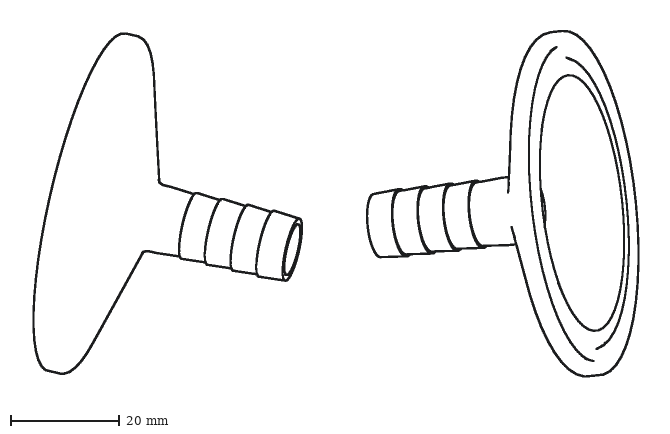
import cadquery as cq
import math

flange_radius = 32.0
total_length = 40.0
bore_radius = 4.8

cone_angle = math.radians(20)
rim_width = 2.4
rim_back_round = 0.8
rim_front_round = 0.2
mouth_radius = 23.75
mouth_angle = math.radians(25)

tail_radius = 6.3
barb_tip_radius = 5.9
barb_length = 5.0
barb_count = 5
neck_fillet = 2.05

groove_radius = 28.15
groove_depth = 1.6
groove_floor_round = 1.1
groove_lip_round = 0.9

sin_cone = math.sin(cone_angle)
cos_cone = math.cos(cone_angle)
tan_cone = math.tan(cone_angle)


def arc_point(center, radius, angle):
    """Point on a circle, with the angle measured from the +X axis."""
    return (center[0] + radius * math.cos(angle), center[1] + radius * math.sin(angle))


def revolve_about_x(profile):
    return profile.close().revolve(360, (0, 0, 0), (1, 0, 0))


def make_body():
    """Flange, cone and barbed tail, as a solid of revolution about X."""
    rim_center = (rim_width, flange_radius - rim_back_round)
    rim_mid = arc_point(rim_center, rim_back_round, (math.pi / 2 + cone_angle) / 2)
    rim_end = arc_point(rim_center, rim_back_round, cone_angle)

    neck_center_radius = tail_radius + neck_fillet
    neck_start_radius = neck_center_radius - neck_fillet * sin_cone
    neck_start_x = rim_end[0] + (rim_end[1] - neck_start_radius) * tan_cone
    neck_center = (neck_start_x + neck_fillet * cos_cone, neck_center_radius)
    neck_mid = arc_point(neck_center, neck_fillet, (math.pi + cone_angle + 1.5 * math.pi) / 2)

    front_center = (rim_front_round, flange_radius - rim_front_round)
    profile = (
        cq.Workplane("XY")
        .moveTo(0, 0)
        .lineTo(0, front_center[1])
        .threePointArc(
            arc_point(front_center, rim_front_round, 0.75 * math.pi),
            (rim_front_round, flange_radius),
        )
        .lineTo(rim_width, flange_radius)
        .threePointArc(rim_mid, rim_end)
        .lineTo(neck_start_x, neck_start_radius)
        .threePointArc(neck_mid, (neck_center[0], tail_radius))
    )
    first_barb_x = total_length - barb_count * barb_length
    for barb in range(barb_count):
        barb_x = first_barb_x + barb * barb_length
        profile = profile.lineTo(barb_x, tail_radius).lineTo(barb_x + barb_length, barb_tip_radius)
    return revolve_about_x(profile.lineTo(total_length, 0))


def make_passage():
    """Conical mouth leading into the straight bore."""
    mouth_depth = (mouth_radius - bore_radius) * math.tan(mouth_angle)
    profile = cq.Workplane("XY").polyline([
        (0, 0),
        (0, mouth_radius),
        (mouth_depth, bore_radius),
        (total_length, bore_radius),
        (total_length, 0),
    ])
    return revolve_about_x(profile)


def make_groove():
    """Round-bottomed ring with sloping walls and rounded lips."""
    floor_center_x = groove_depth - groove_floor_round
    wall_top_x = groove_lip_round * (1 - sin_cone)
    wall_bottom_x = floor_center_x + groove_floor_round * sin_cone
    floor_half_width = groove_floor_round * cos_cone
    wall_half_width = floor_half_width + (wall_bottom_x - wall_top_x) * tan_cone
    mouth_half_width = wall_half_width + groove_lip_round * cos_cone

    lip_mid_angle = (math.pi / 2 - cone_angle) / 2
    lip_mid_x = groove_lip_round * (1 - math.cos(lip_mid_angle))
    lip_mid_half_width = mouth_half_width - groove_lip_round * math.sin(lip_mid_angle)

    profile = (
        cq.Workplane("XY")
        .moveTo(0, groove_radius - mouth_half_width)
        .threePointArc(
            (lip_mid_x, groove_radius - lip_mid_half_width),
            (wall_top_x, groove_radius - wall_half_width),
        )
        .lineTo(wall_bottom_x, groove_radius - floor_half_width)
        .threePointArc((groove_depth, groove_radius), (wall_bottom_x, groove_radius + floor_half_width))
        .lineTo(wall_top_x, groove_radius + wall_half_width)
        .threePointArc(
            (lip_mid_x, groove_radius + lip_mid_half_width),
            (0, groove_radius + mouth_half_width),
        )
    )
    return revolve_about_x(profile)


result = make_body().cut(make_passage()).cut(make_groove())